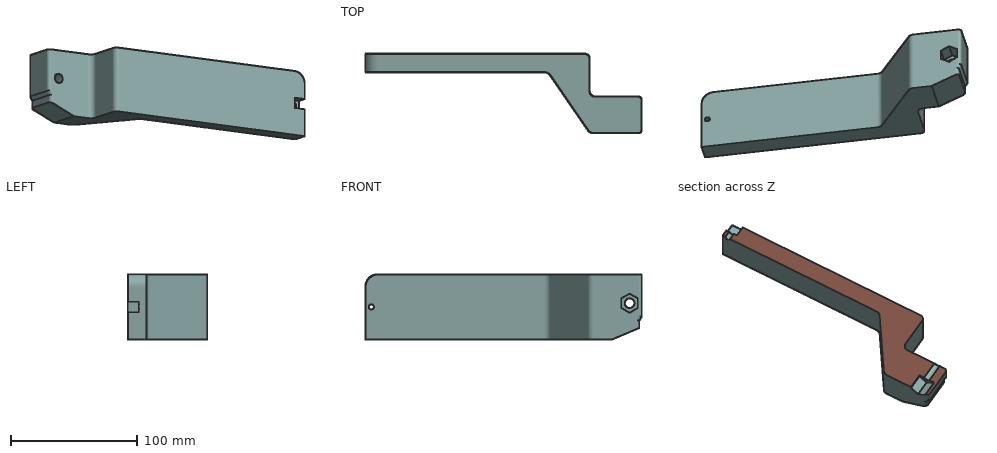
import cadquery as cq
import math

length = 219.0
width = 63.3
height = 52.0

arm_front = 48.2
arm_right = 177.8
block_back = 29.3
slope_start = 144.8
slope_end = 177.8
slope_radius = 5.0
arm_corner_radius = 4.0
inner_corner_radius = 4.4
block_corner_radius = 2.6
rim_chamfer = 0.5

end_radius = 9.9

bevel_start = 195.3
bevel_top = 9.2
step_inset = 2.0
step_bottom = 15.0
step_top = 18.2

slot_length = 9.6
slot_depth = 9.0
slot_height = 8.3
pin_diameter = 4.0
pin_x = slot_length / 2

bolt_x = 209.4
bolt_z = 29.0
bolt_diameter = 7.5
nut_flats = 13.1
nut_depth = 13.1
hexagon_turn = 30


def edges_at(x, y):
    """Select the edges centred above a plan point, allowing for the stepped end wall."""
    reach = step_inset + 0.2
    return cq.selectors.BoxSelector(
        (x - reach, y - 0.2, bevel_top),
        (x + reach, y + 0.2, height - 0.2),
    )


def bracket_body():
    outline = [
        (0, arm_front),
        (slope_start, arm_front),
        (slope_end, 0),
        (length, 0),
        (length, block_back),
        (arm_right, block_back),
        (arm_right, width),
        (0, width),
    ]
    rounded_corners = [
        (slope_start, arm_front, slope_radius),
        (slope_end, 0, slope_radius),
        (length, 0, block_corner_radius),
        (length, block_back, block_corner_radius),
        (arm_right, block_back, inner_corner_radius),
        (arm_right, width, arm_corner_radius),
    ]
    body = cq.Workplane("XY").polyline(outline).close().extrude(height)
    body = body.cut(end_undercut())
    for x, y, radius in rounded_corners:
        body = body.edges(edges_at(x, y)).fillet(radius)
    body = body.faces("<X").edges(">Z").fillet(end_radius)
    return body.faces(">Z").edges("not(<X)").chamfer(rim_chamfer)


def through_y(x, z, diameter):
    """Round cutter running along Y through the whole part."""
    return cq.Workplane("XZ").center(x, z).circle(diameter / 2).extrude(-width)


def end_undercut():
    points = [
        (bevel_start, 0),
        (length - step_inset, bevel_top),
        (length - step_inset, step_bottom),
        (length, step_top),
        (length, 0),
    ]
    return cq.Workplane("XZ").polyline(points).close().extrude(-block_back)


def end_slot():
    corner = (0, width - slot_depth, (height - slot_height) / 2)
    slot = cq.Workplane("XY").box(slot_length, slot_depth, slot_height, centered=False)
    return slot.translate(corner)


def nut_pocket():
    across_corners = nut_flats / math.cos(math.radians(hexagon_turn))
    return (
        cq.Workplane("XZ")
        .polygon(6, across_corners)
        .extrude(-nut_depth)
        .rotate((0, 0, 0), (0, 1, 0), hexagon_turn)
        .translate((bolt_x, 0, bolt_z))
    )


result = bracket_body()
result = result.cut(end_slot())
result = result.cut(through_y(pin_x, height / 2, pin_diameter))
result = result.cut(nut_pocket())
result = result.cut(through_y(bolt_x, bolt_z, bolt_diameter))